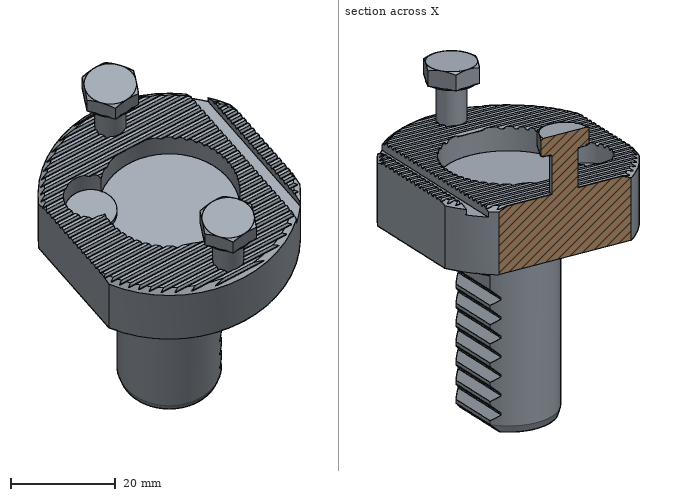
import cadquery as cq
import math

total_height = 65.65
flange_bottom = 39.6
flange_top = 53.5

flange_diameter = 50.0
flange_width = 44
edge_chamfer_height = 0.85
edge_chamfer_run = 1.25

ten_teeth_span = 15.0
tooth_pitch = ten_teeth_span / 10
tooth_depth = 0.5
tooth_tip = 0.65
tooth_root = 0.1

groove_width = 2.95
groove_depth = 2
groove_y = 18.05

pocket_diameter = 27.0
pocket_floor = 48.45
notch_diameter = 10.45
disc_diameter = 10.0
disc_height = 0.9
notch_distance = 15.0
notch_angle = 240

shank_diameter = 20.0
neck_diameter = 19.1
neck_height = 1.0
land_diameter = 19.35
land_height = 0.5
shank_taper_height = 1.5
rack_flat_y = 8.0
rack_flat_top = 32.5
rack_pitch = 4.0
rack_depth = 1.5
rack_root = 0.3
rack_slope_run = 1.45
rack_grooves = 8
rack_first_groove = -0.05

screw_spacing = 40.0
screw_diameter = 6.0
head_sides = 6
head_flats = 10.0
head_height = 3.95
head_turn = 5.4
washer_face_diameter = 10.0
washer_face_height = 0.25
collar_diameter = 6.4
collar_height = 0.2
head_chamfer_angle = 30


def make_flange():
    """Disc with a conical top edge, trimmed to two flats."""
    radius = flange_diameter / 2
    disc = (
        cq.Workplane("XZ")
        .moveTo(0, flange_bottom)
        .lineTo(radius, flange_bottom)
        .lineTo(radius, flange_top - edge_chamfer_height)
        .lineTo(radius - edge_chamfer_run, flange_top)
        .lineTo(0, flange_top)
        .close()
        .revolve(360, (0, 0), (0, 1))
    )
    flats = cq.Workplane("XY").box(flange_diameter, flange_width, total_height * 2)
    return disc.intersect(flats)


def make_serration_cutter():
    """Parallel V grooves, one on each multiple of the pitch."""
    half_root = tooth_root / 2
    half_mouth = (tooth_pitch - tooth_tip) / 2
    root_z = flange_top - tooth_depth
    side_count = math.floor(flange_diameter / 2 / tooth_pitch)
    cutter = cq.Workplane("XZ", origin=(0, flange_width / 2, 0))
    for index in range(-side_count, side_count + 1):
        x = index * tooth_pitch
        cutter = cutter.polyline(
            [
                (x - half_mouth, flange_top),
                (x - half_root, root_z),
                (x + half_root, root_z),
                (x + half_mouth, flange_top),
            ]
        ).close()
    return cutter.extrude(flange_width)


def make_groove_cutter():
    """Rectangular bar along X that cuts the groove near the +Y flat."""
    return (
        cq.Workplane("XY", origin=(0, groove_y, flange_top - groove_depth))
        .rect(flange_diameter, groove_width)
        .extrude(groove_depth)
    )


def pocket_cylinder(x, y, diameter, height):
    """Cylinder standing on the pocket floor."""
    return cq.Workplane("XY", origin=(x, y, pocket_floor)).circle(diameter / 2).extrude(height)


def make_shank():
    """Shank with a tapered foot, a tapered shoulder and a neck groove below a short land."""
    shank_radius = shank_diameter / 2
    neck_radius = neck_diameter / 2
    land_radius = land_diameter / 2
    land_bottom = flange_bottom - land_height
    shoulder_top = flange_bottom - neck_height
    return (
        cq.Workplane("XZ")
        .lineTo(neck_radius, 0)
        .lineTo(shank_radius, shank_taper_height)
        .lineTo(shank_radius, shoulder_top - shank_taper_height)
        .lineTo(neck_radius, shoulder_top)
        .lineTo(neck_radius, land_bottom)
        .lineTo(land_radius, land_bottom)
        .lineTo(land_radius, flange_bottom)
        .lineTo(0, flange_bottom)
        .close()
        .revolve(360, (0, 0), (0, 1))
    )


def make_rack_cutter():
    """Flat on the +Y side of the shank with tooth grooves across it."""
    flat_depth = shank_diameter / 2 - rack_flat_y
    cutter = (
        cq.Workplane("XY", origin=(0, rack_flat_y + flat_depth / 2, 0))
        .rect(shank_diameter, flat_depth)
        .extrude(rack_flat_top)
    )
    half_root = rack_root / 2
    half_mouth = half_root + rack_slope_run
    root_y = rack_flat_y - rack_depth
    grooves = cq.Workplane("YZ", origin=(-shank_diameter / 2, 0, 0))
    for index in range(rack_grooves):
        z = rack_first_groove + index * rack_pitch
        grooves = grooves.polyline(
            [
                (rack_flat_y, z - half_mouth),
                (root_y, z - half_root),
                (root_y, z + half_root),
                (rack_flat_y, z + half_mouth),
            ]
        ).close()
    return cutter.union(grooves.extrude(shank_diameter))


def make_screw(x):
    """Hexagon head screw standing in the flange, with chamfered top corners and a round washer face."""
    head_bottom = total_height - head_height
    hexagon_bottom = head_bottom + washer_face_height
    flat_radius = head_flats / 2
    half_side_angle = 180 / head_sides
    corner_radius = flat_radius / math.cos(math.radians(half_side_angle))
    chamfer_height = (corner_radius - flat_radius) * math.tan(math.radians(head_chamfer_angle))
    head = (
        cq.Workplane("XY", origin=(0, 0, hexagon_bottom))
        .polygon(head_sides, 2 * corner_radius)
        .extrude(head_height - washer_face_height)
        .rotate((0, 0, 0), (0, 0, 1), half_side_angle + head_turn)
    )
    corner_trim = (
        cq.Workplane("XZ")
        .moveTo(0, hexagon_bottom)
        .lineTo(corner_radius, hexagon_bottom)
        .lineTo(corner_radius, total_height - chamfer_height)
        .lineTo(flat_radius, total_height)
        .lineTo(0, total_height)
        .close()
        .revolve(360, (0, 0), (0, 1))
    )
    washer_face = (
        cq.Workplane("XY", origin=(0, 0, head_bottom))
        .circle(washer_face_diameter / 2)
        .extrude(washer_face_height)
    )
    collar = (
        cq.Workplane("XY", origin=(0, 0, head_bottom - collar_height))
        .circle(collar_diameter / 2)
        .extrude(collar_height)
    )
    stem = (
        cq.Workplane("XY", origin=(0, 0, pocket_floor))
        .circle(screw_diameter / 2)
        .extrude(head_bottom - pocket_floor)
    )
    trimmed_head = head.intersect(corner_trim)
    return trimmed_head.union(washer_face).union(collar).union(stem).translate((x, 0, 0))


notch_x = notch_distance * math.cos(math.radians(notch_angle))
notch_y = notch_distance * math.sin(math.radians(notch_angle))
pocket_depth = flange_top - pocket_floor

flange = (
    make_flange()
    .cut(make_serration_cutter())
    .cut(make_groove_cutter())
    .cut(pocket_cylinder(0, 0, pocket_diameter, pocket_depth))
    .cut(pocket_cylinder(notch_x, notch_y, notch_diameter, pocket_depth))
    .union(pocket_cylinder(notch_x, notch_y, disc_diameter, disc_height))
)
shank = make_shank().cut(make_rack_cutter())

result = flange.union(shank)
for side in (-1, 1):
    result = result.union(make_screw(side * screw_spacing / 2))